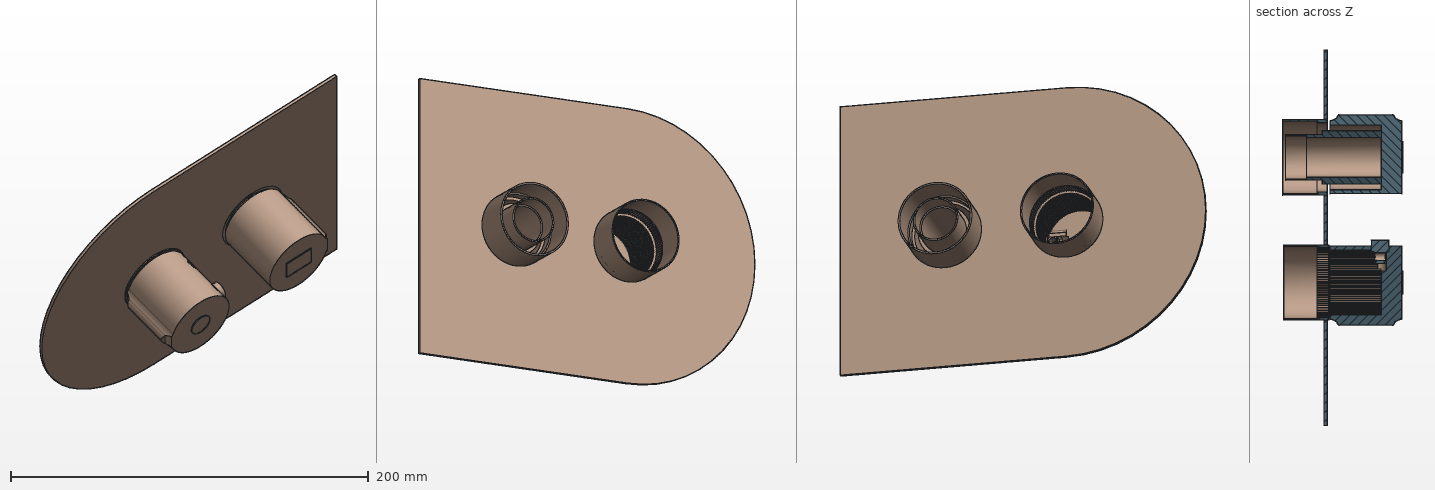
import cadquery as cq
import math

PLATE_LENGTH = 210.0
PLATE_WIDTH = 160.0
PLATE_RADIUS = PLATE_WIDTH / 2
PLATE_THICKNESS = 1.9

STOP_KNOB_Y = 0.0
PLAIN_KNOB_Y = 70.0

PLAIN_SLEEVE_DIAMETER = 42.5
PLAIN_SLEEVE_START = -23.0
STOP_SLEEVE_DIAMETER = 42.0
STOP_SLEEVE_START = -22.5
STOP_SLEEVE_END = 2.7
SLEEVE_BORE = 40.5
LIP_BORE = 38.6
LIP_START = -3.8
SERRATION_COUNT = 90
LIP_SERRATION_DEPTH = 0.6
KNOB_SERRATION_DEPTH = 0.2

KNOB_DIAMETER = 41.0
KNOB_START = 3.4
KNOB_END = 43.5
KNOB_BORE = 36.1
KNOB_FLOOR = 32.0

LEVER_ROOT_RADIUS = 19.0
LEVER_SIDE_FOOT_RADIUS = 19.3
LEVER_END_FOOT_RADIUS = KNOB_DIAMETER / 2
LEVER_SHOULDER_RADIUS = 22.0
LEVER_CREST_RADIUS = 24.0
LEVER_FOOT_HALF_WIDTH = 6.7
LEVER_SHOULDER_HALF_WIDTH = 3.5
LEVER_CREST_HALF_WIDTH = 0.2
LEVER_SHOULDER_INSET = 3.8
LEVER_CREST_INSET = 5.0
FLARE_SAG = 0.2
SIDE_CREST_SAG = 0.5
END_CREST_SAG = 0.2

SPINDLE_DIAMETER = 25.6
SPINDLE_BORE = 24.0
SPINDLE_INNER_BORE = 22.0
SPINDLE_START = -21.6
SPINDLE_STEP = -9.7
COLLAR_DIAMETER = 29.8
COLLAR_START = -1.0

BUTTON_X = 31.3
BUTTON_DIAMETER = 9.9
BUTTON_TOP = 23.7
BUTTON_SEAT = 17.2
STEM_DIAMETER = 7.0
STEM_NECK_DIAMETER = 4.6
STEM_NECK_START = 12.4
STEM_NECK_END = 11.5
STEM_END = 10.5
CROSS_HOLE_DIAMETER = 4.2
CROSS_HOLE_Y = 14.5
STEM_BORE_END = 6.5

BOSS_INNER_Y = 7.5
BOSS_OUTER_Y = 18.5
BOSS_FOOT_HALF_WIDTH = 7.4
BOSS_FLARE = 1.9

MARKER_X = 14.7
MARKER_Y = 16.8
MARKER_LENGTH = 5.2
MARKER_WIDTH = 2.3
MARKER_FLOOR_Z = 10.5

EMBLEM_THICKNESS = 0.6
PLAIN_EMBLEM_LENGTH = 17.6
PLAIN_EMBLEM_WIDTH = 12.5
STOP_EMBLEM_DIAMETER = 13.0


def cylinder_x(diameter, start, end, y=0.0):
    """Cylinder along X between two X positions."""
    return cq.Workplane("YZ", origin=(start, y, 0)).circle(diameter / 2).extrude(end - start)


def cylinder_y(diameter, start, end):
    """Cylinder along Y at the X position of the stop button."""
    plane = cq.Plane(origin=(BUTTON_X, start, 0), xDir=(1, 0, 0), normal=(0, 1, 0))
    return cq.Workplane(plane).circle(diameter / 2).extrude(end - start)


def make_plate():
    straight_length = PLATE_LENGTH - PLATE_RADIUS
    plate = (
        cq.Workplane("YZ")
        .moveTo(straight_length, -PLATE_RADIUS)
        .lineTo(0, -PLATE_RADIUS)
        .threePointArc((-PLATE_RADIUS, 0), (0, PLATE_RADIUS))
        .lineTo(straight_length, PLATE_RADIUS)
        .close()
        .extrude(PLATE_THICKNESS)
    )
    plate = plate.cut(cylinder_x(PLAIN_SLEEVE_DIAMETER, 0, PLATE_THICKNESS, PLAIN_KNOB_Y))
    return plate.cut(cylinder_x(STOP_SLEEVE_DIAMETER, 0, PLATE_THICKNESS, STOP_KNOB_Y))


def make_sleeve(diameter, start, end, y):
    """Thin tube with an inner lip at its +X end."""
    sleeve = cylinder_x(diameter, start, end, y)
    sleeve = sleeve.cut(cylinder_x(SLEEVE_BORE, start, LIP_START, y))
    return sleeve.cut(cylinder_x(LIP_BORE, LIP_START, end, y))


def make_serrations(bore, depth, start, end):
    """Star-shaped prism that cuts V grooves all round a bore on the stop knob's axis."""
    points = []
    for index in range(2 * SERRATION_COUNT):
        angle = math.pi * index / SERRATION_COUNT
        radius = bore / 2 + depth * (index % 2)
        points.append((radius * math.cos(angle), radius * math.sin(angle)))
    outline = cq.Workplane("YZ", origin=(start, STOP_KNOB_Y, 0)).polyline(points).close()
    return outline.extrude(end - start)


def bowed_arc(sketch, start, end, sag):
    """Arc from start to end; positive sag bows it to the left of the travel direction."""
    run = end[0] - start[0]
    rise = end[1] - start[1]
    chord = math.hypot(run, rise)
    middle = (
        (start[0] + end[0]) / 2 - sag * rise / chord,
        (start[1] + end[1]) / 2 + sag * run / chord,
    )
    return sketch.threePointArc(middle, end)


def lever_outline(sketch, left, right, crest_sag):
    """Closed outline over the foot, shoulder and crest points of each side, down to the root."""
    left_foot, left_shoulder, left_crest = left
    right_foot, right_shoulder, right_crest = right
    sketch = sketch.moveTo(left_foot[0], LEVER_ROOT_RADIUS).lineTo(*left_foot)
    sketch = bowed_arc(sketch, left_foot, left_shoulder, -FLARE_SAG)
    sketch = bowed_arc(sketch, left_shoulder, left_crest, crest_sag)
    sketch = sketch.lineTo(*right_crest)
    sketch = bowed_arc(sketch, right_crest, right_shoulder, crest_sag)
    sketch = bowed_arc(sketch, right_shoulder, right_foot, -FLARE_SAG)
    return sketch.lineTo(right_foot[0], LEVER_ROOT_RADIUS).close()


def make_lever():
    """Lever on the +Y side of an axis at Y = 0: its cross-section crossed with its side outline."""
    side_heights = (LEVER_SIDE_FOOT_RADIUS, LEVER_SHOULDER_RADIUS, LEVER_CREST_RADIUS)
    end_heights = (LEVER_END_FOOT_RADIUS, LEVER_SHOULDER_RADIUS, LEVER_CREST_RADIUS)
    half_widths = (LEVER_FOOT_HALF_WIDTH, LEVER_SHOULDER_HALF_WIDTH, LEVER_CREST_HALF_WIDTH)
    insets = (0, LEVER_SHOULDER_INSET, LEVER_CREST_INSET)

    section_plane = cq.Plane(origin=(KNOB_START, 0, 0), xDir=(0, 0, -1), normal=(1, 0, 0))
    section = lever_outline(
        cq.Workplane(section_plane),
        [(-half, height) for half, height in zip(half_widths, side_heights)],
        [(half, height) for half, height in zip(half_widths, side_heights)],
        SIDE_CREST_SAG,
    ).extrude(KNOB_END - KNOB_START)

    side = lever_outline(
        cq.Workplane("XY"),
        [(KNOB_START + inset, height) for inset, height in zip(insets, end_heights)],
        [(KNOB_END - inset, height) for inset, height in zip(insets, end_heights)],
        END_CREST_SAG,
    ).extrude(LEVER_FOOT_HALF_WIDTH, both=True)
    return section.intersect(side)


def make_knob():
    """Hollow knob on an axis at Y = 0 with its lever on the +Y side."""
    knob = cylinder_x(KNOB_DIAMETER, KNOB_START, KNOB_END)
    knob = knob.cut(cylinder_x(KNOB_BORE, KNOB_START, KNOB_FLOOR))
    return knob.union(make_lever())


def make_plain_knob():
    return make_knob().translate((0, PLAIN_KNOB_Y, 0))


def make_button_boss():
    """Low block on the knob floor with flared long sides, around the stem of the button."""
    top_x = KNOB_FLOOR - BOSS_FLARE
    top_half_width = BOSS_FOOT_HALF_WIDTH - BOSS_FLARE
    plane = cq.Plane(origin=(0, BOSS_INNER_Y, 0), xDir=(1, 0, 0), normal=(0, 1, 0))
    foot_low = (KNOB_FLOOR, -BOSS_FOOT_HALF_WIDTH)
    foot_high = (KNOB_FLOOR, BOSS_FOOT_HALF_WIDTH)
    flare_bulge = BOSS_FLARE * (1 - math.sqrt(0.5))
    return (
        cq.Workplane(plane)
        .moveTo(*foot_low)
        .threePointArc(
            (KNOB_FLOOR - flare_bulge, -top_half_width - flare_bulge),
            (top_x, -top_half_width),
        )
        .lineTo(top_x, top_half_width)
        .threePointArc(
            (KNOB_FLOOR - flare_bulge, top_half_width + flare_bulge),
            foot_high,
        )
        .close()
        .extrude(BOSS_OUTER_Y - BOSS_INNER_Y)
    )


def make_stop_knob():
    """Knob with its lever on the -Y side, the button seat on the +Y side and a marker pocket."""
    knob = make_knob().rotate((0, 0, 0), (1, 0, 0), 180)
    knob = knob.cut(make_serrations(KNOB_BORE, KNOB_SERRATION_DEPTH, KNOB_START, KNOB_FLOOR))
    knob = knob.union(make_button_boss())
    knob = knob.cut(cylinder_y(BUTTON_DIAMETER, BUTTON_SEAT, BUTTON_TOP))
    knob = knob.cut(cylinder_y(STEM_DIAMETER, STEM_BORE_END, BUTTON_SEAT))
    marker = (
        cq.Workplane("XY", origin=(MARKER_X, MARKER_Y, MARKER_FLOOR_Z))
        .rect(MARKER_LENGTH, MARKER_WIDTH)
        .extrude(KNOB_DIAMETER / 2)
    )
    return knob.cut(marker).translate((0, STOP_KNOB_Y, 0))


def make_stop_button():
    """Round head on a stem that has a cross hole, a narrow neck and a disc at its end."""
    button = cylinder_y(BUTTON_DIAMETER, BUTTON_SEAT, BUTTON_TOP)
    button = button.union(cylinder_y(STEM_DIAMETER, STEM_NECK_START, BUTTON_SEAT))
    button = button.union(cylinder_y(STEM_NECK_DIAMETER, STEM_NECK_END, STEM_NECK_START))
    button = button.union(cylinder_y(STEM_DIAMETER, STEM_END, STEM_NECK_END))
    cross_hole = cylinder_x(
        CROSS_HOLE_DIAMETER, BUTTON_X - STEM_DIAMETER, BUTTON_X + STEM_DIAMETER, CROSS_HOLE_Y
    )
    return button.cut(cross_hole).translate((0, STOP_KNOB_Y, 0))


def make_spindle():
    """Stepped tube whose collar reaches the floor of the plain knob."""
    spindle = cylinder_x(SPINDLE_DIAMETER, SPINDLE_START, COLLAR_START)
    spindle = spindle.union(cylinder_x(COLLAR_DIAMETER, COLLAR_START, KNOB_FLOOR))
    spindle = spindle.cut(cylinder_x(SPINDLE_BORE, SPINDLE_START, SPINDLE_STEP))
    spindle = spindle.cut(cylinder_x(SPINDLE_INNER_BORE, SPINDLE_STEP, KNOB_FLOOR))
    return spindle.translate((0, PLAIN_KNOB_Y, 0))


def make_plain_emblem():
    return (
        cq.Workplane("YZ", origin=(KNOB_END, PLAIN_KNOB_Y, 0))
        .rect(PLAIN_EMBLEM_LENGTH, PLAIN_EMBLEM_WIDTH)
        .extrude(EMBLEM_THICKNESS)
    )


def make_stop_emblem():
    return cylinder_x(STOP_EMBLEM_DIAMETER, KNOB_END, KNOB_END + EMBLEM_THICKNESS, STOP_KNOB_Y)


plate = make_plate()
plain_sleeve = make_sleeve(PLAIN_SLEEVE_DIAMETER, PLAIN_SLEEVE_START, PLATE_THICKNESS, PLAIN_KNOB_Y)
stop_sleeve = make_sleeve(STOP_SLEEVE_DIAMETER, STOP_SLEEVE_START, STOP_SLEEVE_END, STOP_KNOB_Y)
stop_sleeve = stop_sleeve.cut(make_serrations(LIP_BORE, LIP_SERRATION_DEPTH, LIP_START, STOP_SLEEVE_END))
plain_knob = make_plain_knob()
stop_knob = make_stop_knob()
spindle = make_spindle()
stop_button = make_stop_button()
plain_emblem = make_plain_emblem()
stop_emblem = make_stop_emblem()

result = cq.Compound.makeCompound(
    [
        plate.val(),
        plain_sleeve.val(),
        stop_sleeve.val(),
        plain_knob.val(),
        stop_knob.val(),
        spindle.val(),
        stop_button.val(),
        plain_emblem.val(),
        stop_emblem.val(),
    ]
)